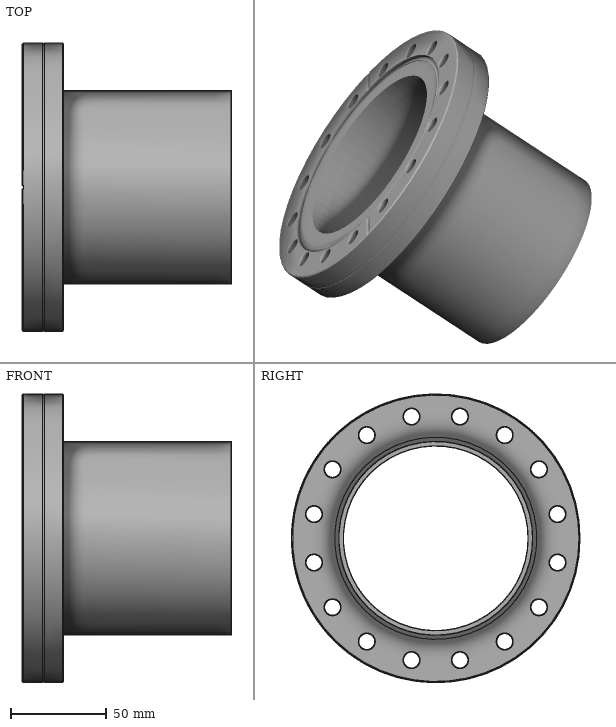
import cadquery as cq
import math

flange_diameter = 151.6
flange_thickness = 21.7
overall_length = 109.8
rim_chamfer = 0.6

ring_front_bore = 120.8
ring_rear_bore = 106.1
rim_groove_start = 10.6
rim_groove_width = 1.0
rim_groove_depth = 0.3

bolt_count = 16
bolt_diameter = 8.3
bolt_circle = 130.4
bolt_chamfer = 0.3

leak_groove_width = 2.5
leak_groove_depth = 0.6

insert_diameter = 120.4
insert_bore = 96.9
insert_face = 1.2
insert_rear = 13.6
knife_diameter = 115.2
knife_tip = 0.8
knife_slope = 20.0
knife_drop = (insert_diameter - knife_diameter) / 2 * math.tan(math.radians(knife_slope))

tube_outer = 101.5
tube_bore = 97.0
tube_start = 11.0
socket_diameter = 101.9


def cylinder(diameter, start, end):
    """Cylinder on the X axis between two X positions."""
    return cq.Workplane("YZ", origin=(start, 0, 0)).circle(diameter / 2).extrude(end - start)


def make_bolt_hole():
    """Half profile revolved about X: a through hole that flares at the front and rear faces."""
    radius = bolt_diameter / 2
    flare_radius = radius + bolt_chamfer
    return (
        cq.Workplane("XY")
        .lineTo(0, flare_radius)
        .lineTo(bolt_chamfer, radius)
        .lineTo(flange_thickness - bolt_chamfer, radius)
        .lineTo(flange_thickness, flare_radius)
        .lineTo(flange_thickness, 0)
        .close()
        .revolve(360, (0, 0, 0), (1, 0, 0))
    )


def make_leak_groove():
    """One round channel along Z that crosses the ring face at its top and at its bottom."""
    half_width = leak_groove_width / 2
    radius = (half_width**2 + leak_groove_depth**2) / (2 * leak_groove_depth)
    return (
        cq.Workplane("XY", origin=(leak_groove_depth - radius, 0, -flange_diameter / 2))
        .circle(radius)
        .extrude(flange_diameter)
    )


def make_rim_groove():
    """Shallow band around the rim of the ring."""
    end = rim_groove_start + rim_groove_width
    floor_diameter = flange_diameter - 2 * rim_groove_depth
    band = cylinder(flange_diameter, rim_groove_start, end)
    return band.cut(cylinder(floor_diameter, rim_groove_start, end))


def make_ring():
    """Outer ring, bored to hold the insert at the front and to clear the tube at the rear."""
    ring = cylinder(flange_diameter, 0, flange_thickness).edges().chamfer(rim_chamfer)
    ring = ring.cut(cylinder(ring_front_bore, 0, insert_rear))
    ring = ring.cut(cylinder(ring_rear_bore, insert_rear, flange_thickness))
    ring = ring.cut(make_leak_groove()).cut(make_rim_groove())
    bolt_hole = make_bolt_hole().translate((0, 0, bolt_circle / 2))
    bolt_pitch = 360 / bolt_count
    for i in range(bolt_count):
        ring = ring.cut(bolt_hole.rotate((0, 0, 0), (1, 0, 0), (i + 0.5) * bolt_pitch))
    return ring


def make_insert():
    """Revolved half profile: recessed flat face, knife edge, plain rim and a rear socket for the tube."""
    return (
        cq.Workplane("XY")
        .moveTo(insert_face, insert_bore / 2)
        .lineTo(insert_face, knife_diameter / 2)
        .lineTo(knife_tip, knife_diameter / 2)
        .lineTo(knife_tip + knife_drop, insert_diameter / 2)
        .lineTo(insert_rear, insert_diameter / 2)
        .lineTo(insert_rear, socket_diameter / 2)
        .lineTo(tube_start, socket_diameter / 2)
        .lineTo(tube_start, insert_bore / 2)
        .close()
        .revolve(360, (0, 0, 0), (1, 0, 0))
    )


def make_tube():
    """Plain tube, its front end seated on the floor of the insert's socket."""
    tube = cylinder(tube_outer, tube_start, overall_length)
    return tube.cut(cylinder(tube_bore, tube_start, overall_length))


ring = make_ring()
insert = make_insert()
tube = make_tube()

result = cq.Compound.makeCompound([ring.val(), insert.val(), tube.val()])